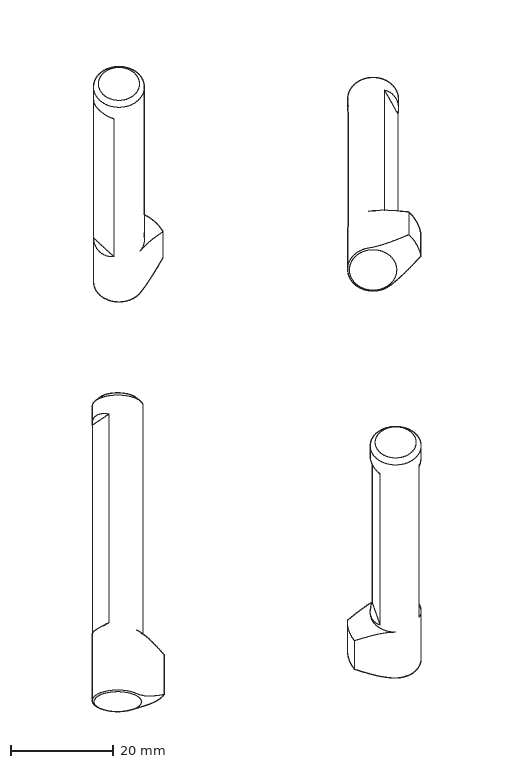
import cadquery as cq
import math

length = 65.0
pin_radius = 5.0
top_chamfer = 1.0

flat_offset = 3.95
flat_bottom = 14.95
flat_top = 60.05
ramp_angle = 30.0

fin_reach = 9.5
fin_taper = 15.0
fin_tip_bottom = 2.8
fin_tip_top = 11.4
fin_end_angle = 30.0


def make_pin():
    pin = cq.Workplane("XY").circle(pin_radius).extrude(length)
    return pin.faces(">Z").chamfer(top_chamfer)


def flat_cutter():
    """Trapezoidal prism that cuts the flat on the +Y side."""
    depth = pin_radius - flat_offset
    ramp_length = depth * math.tan(math.radians(ramp_angle))
    return (
        cq.Workplane("YZ")
        .moveTo(flat_offset, flat_bottom)
        .lineTo(pin_radius, flat_bottom - ramp_length)
        .lineTo(pin_radius, flat_top + ramp_length)
        .lineTo(flat_offset, flat_top)
        .close()
        .extrude(pin_radius, both=True)
    )


def fin_wedge():
    """Tapered prism whose sides touch the pin tangentially."""
    taper = math.radians(fin_taper)
    tangent_x = pin_radius * math.cos(taper)
    tangent_y = pin_radius * math.sin(taper)
    tip_half_width = (pin_radius - fin_reach * math.sin(taper)) / math.cos(taper)
    return (
        cq.Workplane("XY")
        .moveTo(-tangent_x, tangent_y)
        .lineTo(tangent_x, tangent_y)
        .lineTo(tip_half_width, fin_reach)
        .lineTo(-tip_half_width, fin_reach)
        .close()
        .extrude(length)
    )


def cone_envelope(top_at_axis):
    """Turned body with a conical bottom; a conical top reaches the given height on the axis."""
    slope = math.tan(math.radians(fin_end_angle))
    base_radius = fin_reach - fin_tip_bottom / slope
    top_at_tip = top_at_axis - fin_reach * slope
    return (
        cq.Workplane("XZ")
        .lineTo(base_radius, 0)
        .lineTo(fin_reach, fin_tip_bottom)
        .lineTo(fin_reach, top_at_tip)
        .lineTo(0, top_at_axis)
        .close()
        .revolve(360, (0, 0, 0), (0, 1, 0))
    )


fin_top_at_axis = fin_tip_top + fin_reach * math.tan(math.radians(fin_end_angle))
fin = fin_wedge().intersect(cone_envelope(fin_top_at_axis))

pin = make_pin().intersect(cone_envelope(2 * length))

flat = flat_cutter()
opposite_flat = flat.mirror("XZ")
result = pin.cut(opposite_flat).cut(flat).union(fin)